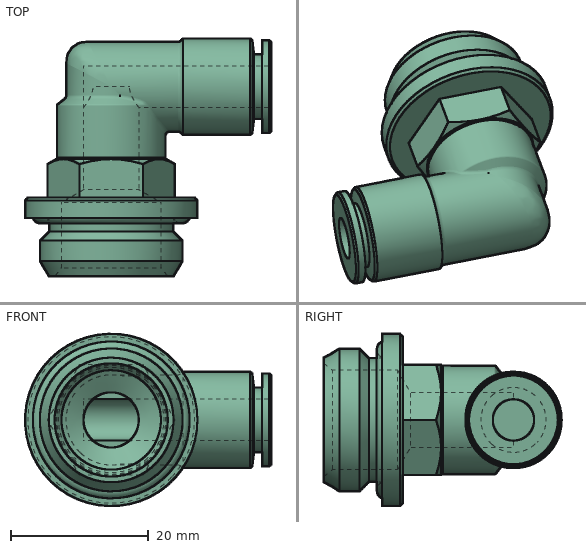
import cadquery as cq
import math


elbow_radius = 6.55
corner_tangent_ratio = 0.52
root_fillet = 0.55

collar_start = 1.57
collar_shoulder = 2.65
collar_radius = 7.9
collar_round = 0.3
collar_end_chamfer = 0.25
hex_start = 10.5
hex_across_flats = 16.0
hex_chamfer_angle = 30
flange_start = 16.03
flange_end = 19.03
flange_radius = 12.5
flange_chamfer = 0.43
seal_center_radius = 10.2
seal_section_radius = 1.25
seal_end = 19.8
relief_radius = 9.0
relief_end = 20.95
thread_radius = 10.35
thread_start = 22.3
thread_end = 25.25
inlet_end = 27.5
nose_radius = 9.03

socket_start = 9.92
socket_radius = 7.0
socket_slope = socket_radius - elbow_radius
socket_root_fillet = 0.55
socket_shoulder_end = 20.15
socket_crown = 20.45
socket_crown_radius = 6.7
socket_end = 20.7
stem_radius = 4.7
release_ring_start = 21.85
release_ring_radius = 6.75
release_ring_chamfer = 0.32
tube_end = 23.2

mouth_radius = 8.2
cavity_radius = 7.2
mouth_chamfer = 1.25
cavity_depth = 10.7
inlet_bore_radius = 4.0
cavity_cone_angle = 120
cavity_step = cavity_radius - inlet_bore_radius
cavity_cone_length = cavity_step / math.tan(math.radians(cavity_cone_angle / 2))
tube_bore_radius = 3.0


def disc(radius, start, end):
    """Cylinder around the inlet axis, between two distances from the tube axis."""
    return cq.Workplane("XZ", origin=(0, -start, 0)).circle(radius).extrude(end - start)


def tube_disc(radius, start, end):
    """Cylinder around the tube axis, between two distances from the inlet axis."""
    return cq.Workplane("YZ", origin=(start, 0, 0)).circle(radius).extrude(end - start)


def inlet_revolve(points):
    """Revolve (radius, distance) points around the inlet axis."""
    outline = cq.Workplane("XY").polyline([(radius, -distance) for radius, distance in points])
    return outline.close().revolve(360, (0, 0, 0), (0, 1, 0))


def wedge(points):
    """Prism standing across the full elbow height, used to trim the elbow pieces."""
    height = 4 * elbow_radius
    return cq.Workplane("XY", origin=(0, 0, -height / 2)).polyline(points).close().extrude(height)


def elbow_corner():
    """Ellipsoid that meets both elbow cylinders tangentially."""
    ratio = corner_tangent_ratio
    long_scale = math.sqrt(1 + ratio)
    short_scale = math.sqrt(1 - ratio)
    stretch = cq.Matrix([[long_scale, 0, 0, 0], [0, short_scale, 0, 0], [0, 0, 1, 0]])
    ball = cq.Workplane("XY").sphere(elbow_radius).rotate((0, 0, 0), (0, 1, 0), 180)
    ball = ball.rotate((0, 0, 0), (1, 0, 0), 90)
    ellipsoid = cq.Workplane(ball.val().transformGeometry(stretch)).rotate((0, 0, 0), (0, 0, 1), 135)
    reach = 2 * elbow_radius
    inlet_edge = (-reach, ratio * reach)
    tube_edge = (-ratio * reach, reach)
    return ellipsoid.intersect(wedge([(0, 0), inlet_edge, (-reach, reach), tube_edge]))


def collar_root_edges(body):
    """Edges where the collar runs into the elbow, clear of the legs' far ends."""
    margin = 0.1
    near = cq.selectors.BoxSelector(
        (-elbow_radius - margin, -elbow_radius - margin, -collar_radius),
        (collar_radius + margin, -collar_start + margin, collar_radius),
        boundingbox=True)
    return body.edges(near)


def elbow_with_collar():
    reach = 2 * elbow_radius
    slant = corner_tangent_ratio * reach
    inlet_leg = disc(elbow_radius, -elbow_radius, hex_start)
    inlet_leg = inlet_leg.intersect(
        wedge([(0, 0), (-reach, slant), (-reach, -reach), (reach, -reach)]))
    tube_leg = tube_disc(elbow_radius, -elbow_radius, socket_start + socket_slope)
    tube_leg = tube_leg.intersect(
        wedge([(0, 0), (-slant, reach), (reach, reach), (reach, -reach)]))
    body = inlet_leg.union(collar()).union(tube_leg)
    body = collar_root_edges(body).fillet(root_fillet)
    return body.union(elbow_corner())


def collar():
    body = inlet_revolve([
        (0, collar_start),
        (elbow_radius, collar_start),
        (collar_radius, collar_shoulder),
        (collar_radius, hex_start - collar_end_chamfer),
        (collar_radius - collar_end_chamfer, hex_start),
        (0, hex_start),
    ])
    margin = 0.05
    shoulder = cq.selectors.BoxSelector(
        (-flange_radius, -collar_shoulder - margin, -flange_radius),
        (flange_radius, -collar_shoulder + margin, flange_radius))
    return body.edges(shoulder).fillet(collar_round)


def hexagon():
    corner_radius = hex_across_flats / math.sqrt(3)
    flat_radius = hex_across_flats / 2
    chamfer_drop = (corner_radius - flat_radius) * math.tan(math.radians(hex_chamfer_angle))
    prism = cq.Workplane("XZ", origin=(0, -hex_start, 0)).polygon(6, 2 * corner_radius)
    prism = prism.extrude(flange_start - hex_start)
    envelope = inlet_revolve([
        (0, hex_start),
        (flat_radius, hex_start),
        (corner_radius, hex_start + chamfer_drop),
        (corner_radius, flange_start),
        (0, flange_start),
    ])
    return prism.intersect(envelope)


def flange():
    body = disc(flange_radius, flange_start, flange_end).faces(">Y").chamfer(flange_chamfer)
    seal_center = seal_end - seal_section_radius
    seal = cq.Workplane("XY").center(seal_center_radius, -seal_center).circle(seal_section_radius)
    seal = seal.revolve(360, (-seal_center_radius, 0, 0), (-seal_center_radius, 1, 0))
    return body.union(seal)


def threaded_end():
    return inlet_revolve([
        (0, flange_start),
        (relief_radius, flange_start),
        (relief_radius, relief_end),
        (thread_radius, thread_start),
        (thread_radius, thread_end),
        (nose_radius, inlet_end),
        (0, inlet_end),
    ])


def tube_socket():
    """Socket, stem and release ring as one turned body around the tube axis."""
    outline = cq.Workplane("XY").polyline([
        (socket_start, 0),
        (socket_start, elbow_radius),
        (socket_start + socket_slope, socket_radius),
        (socket_shoulder_end, socket_radius),
        (socket_crown, socket_crown_radius),
        (socket_end, stem_radius),
        (release_ring_start, stem_radius),
        (release_ring_start, release_ring_radius),
        (tube_end - release_ring_chamfer, release_ring_radius),
        (tube_end, release_ring_radius - release_ring_chamfer),
        (tube_end, 0),
    ])
    return outline.close().revolve(360, (0, 0, 0), (1, 0, 0))


def with_socket(body):
    """Join the socket to the elbow and blend the edge between them."""
    margin = 0.05
    root = cq.selectors.BoxSelector(
        (socket_start - margin, -socket_radius, -socket_radius),
        (socket_start + margin, socket_radius, socket_radius),
        boundingbox=True)
    return body.union(tube_socket()).edges(root).fillet(socket_root_fillet)


def passages():
    cavity_floor = inlet_end - cavity_depth
    inlet = inlet_revolve([
        (0, 0),
        (inlet_bore_radius, 0),
        (inlet_bore_radius, cavity_floor - cavity_cone_length),
        (cavity_radius, cavity_floor),
        (cavity_radius, inlet_end - mouth_chamfer),
        (mouth_radius, inlet_end),
        (0, inlet_end),
    ])
    return inlet.union(tube_disc(tube_bore_radius, -inlet_bore_radius, tube_end))


body = with_socket(elbow_with_collar())
body = body.union(hexagon()).union(flange()).union(threaded_end())
result = body.cut(passages())